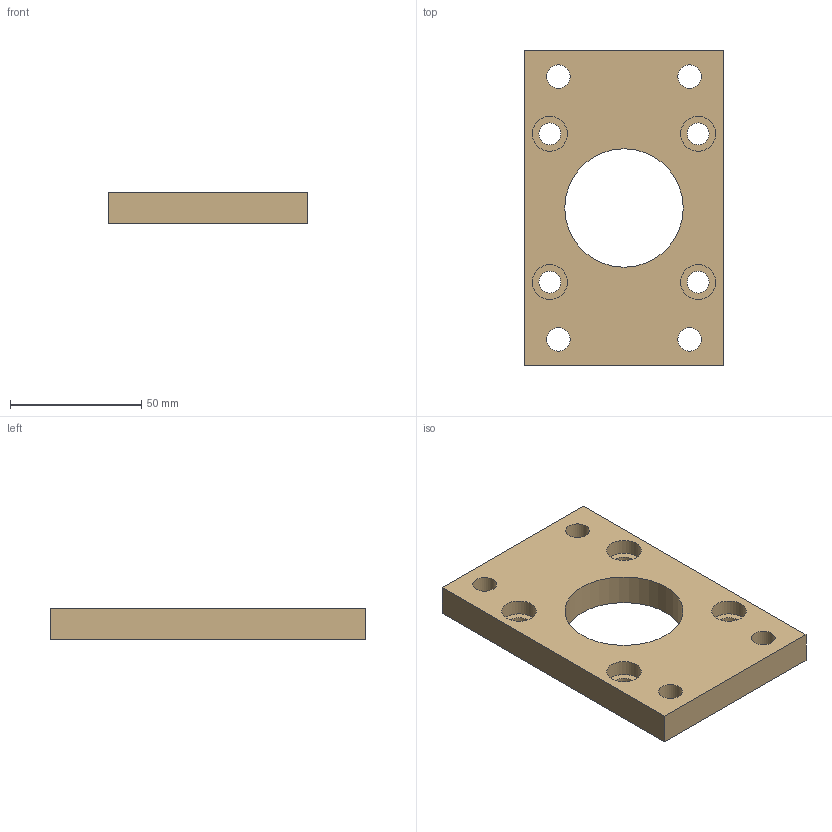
import cadquery as cq

plate_width = 76.0
plate_length = 120.0
plate_thickness = 12.0

bore_diameter = 45.1

corner_hole_diameter = 9.0
corner_spacing_x = 50.0
corner_spacing_y = 100.0

screw_spacing = 56.5
screw_hole_diameter = 8.3
counterbore_diameter = 13.3
counterbore_depth = 6.0


def make_plate():
    """Flat plate centred on the origin in X, Y and Z."""
    return cq.Workplane("XY").box(plate_width, plate_length, plate_thickness)


def cut_bore(body):
    """Cut the central through bore."""
    return body.faces(">Z").workplane().hole(bore_diameter)


def cut_corner_holes(body):
    """Cut the four plain through holes."""
    pattern = body.faces(">Z").workplane().rect(corner_spacing_x, corner_spacing_y, forConstruction=True)
    return pattern.vertices().hole(corner_hole_diameter)


def cut_screw_holes(body):
    """Cut the four through holes counterbored from the top face."""
    pattern = body.faces(">Z").workplane().rect(screw_spacing, screw_spacing, forConstruction=True)
    return pattern.vertices().cboreHole(screw_hole_diameter, counterbore_diameter, counterbore_depth)


plate = make_plate()
plate = cut_bore(plate)
plate = cut_corner_holes(plate)
result = cut_screw_holes(plate)